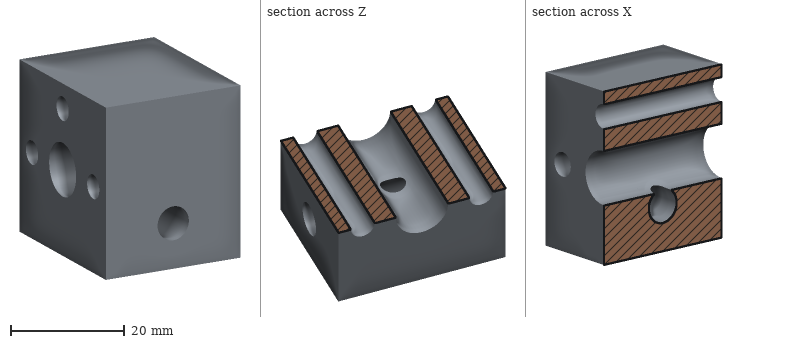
import cadquery as cq

width = 32.0
depth = 27.15
height = 32.0

bore_diameter = 10.0
bolt_hole_diameter = 4.5
bolt_offset = 11.33

cross_hole_diameter = 6.3
cross_hole_drop = 7.55

block = cq.Workplane("XY").box(width, depth, height)


def hole_cutters(plane, centers, diameter, length):
    """Cylinders centred on the plane, long enough to pass through the block."""
    return cq.Workplane(plane).pushPoints(centers).circle(diameter / 2).extrude(length / 2, both=True)


bolt_centers = [(-bolt_offset, 0), (bolt_offset, 0), (0, bolt_offset)]

bore = hole_cutters("XZ", [(0, 0)], bore_diameter, depth)
bolt_holes = hole_cutters("XZ", bolt_centers, bolt_hole_diameter, depth)
cross_hole = hole_cutters("YZ", [(0, -cross_hole_drop)], cross_hole_diameter, width)

result = block.cut(bore).cut(bolt_holes).cut(cross_hole)